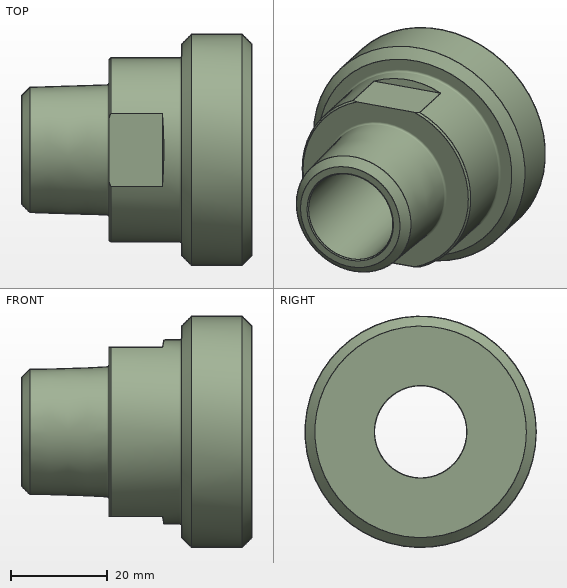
import cadquery as cq
import math

total_length = 47.5
nose_length = 18.05
collar_end = 33.0

bore_radius = 19.0 / 2
bore_entry_chamfer = 0.25
nose_tip_radius = 11.2
nose_taper_start_radius = 12.95
nose_chamfer_length = 1.7
nose_taper = 1 / 32
collar_radius = 38.0 / 2
collar_chamfer = 0.4
root_fillet = 0.45
flange_radius = 47.7 / 2
flange_chamfer = 2.05

flat_height = 17.45
flat_end = 29.05
flat_wall_angle = 11
cutter_clearance = 0.5

nose_taper_end = nose_length - root_fillet
nose_root_radius = nose_taper_start_radius + nose_taper * (nose_taper_end - nose_chamfer_length)
arc_middle = root_fillet * math.sqrt(0.5)


def add_root_fillet(outline, face_x, radius):
    """Continue an outline from a cylinder through a concave fillet onto the face at face_x."""
    center_x = face_x - root_fillet
    center_r = radius + root_fillet
    return outline.threePointArc(
        (center_x + arc_middle, center_r - arc_middle),
        (face_x, center_r),
    )


def turned_body():
    """Hollow body of revolution: tapered nose, collar and flange."""
    outline = (
        cq.Workplane("XY")
        .moveTo(0, bore_radius + bore_entry_chamfer)
        .lineTo(0, nose_tip_radius)
        .lineTo(nose_chamfer_length, nose_taper_start_radius)
        .lineTo(nose_taper_end, nose_root_radius)
    )
    outline = add_root_fillet(outline, nose_length, nose_root_radius)
    outline = (
        outline.lineTo(nose_length, collar_radius - collar_chamfer)
        .lineTo(nose_length + collar_chamfer, collar_radius)
        .lineTo(collar_end - root_fillet, collar_radius)
    )
    outline = add_root_fillet(outline, collar_end, collar_radius)
    outline = (
        outline.lineTo(collar_end, flange_radius - flange_chamfer)
        .lineTo(collar_end + flange_chamfer, flange_radius)
        .lineTo(total_length - flange_chamfer, flange_radius)
        .lineTo(total_length, flange_radius - flange_chamfer)
        .lineTo(total_length, bore_radius)
        .lineTo(bore_entry_chamfer, bore_radius)
        .close()
    )
    return outline.revolve(360, (0, 0, 0), (1, 0, 0))


def flat_cutter():
    """Block that mills the upper wrench flat, with a sloped end wall."""
    cutter_top = collar_radius + cutter_clearance
    wall_run = (cutter_top - flat_height) * math.tan(math.radians(flat_wall_angle))
    return (
        cq.Workplane("XZ")
        .moveTo(0, flat_height)
        .lineTo(flat_end, flat_height)
        .lineTo(flat_end + wall_run, cutter_top)
        .lineTo(0, cutter_top)
        .close()
        .extrude(collar_radius, both=True)
    )


upper_flat = flat_cutter()
lower_flat = upper_flat.mirror("XY")
result = turned_body().cut(upper_flat).cut(lower_flat)